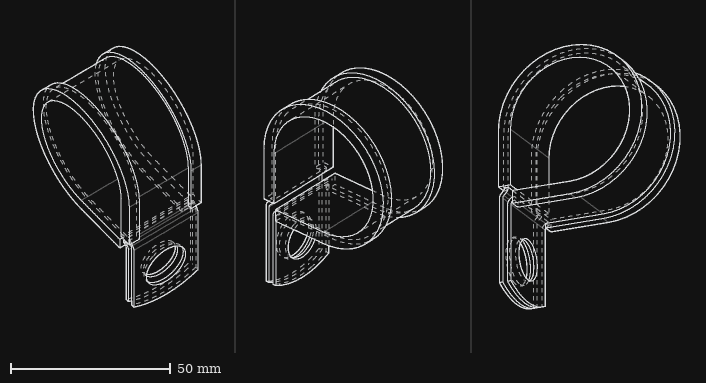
import cadquery as cq
import math


inner_radius = 20.64
outer_radius = 24.9
cushion_width = 28.45
groove_width = 20.5
groove_depth = 1.52
bottom_leg_end_x = 20.0
upright_leg_end_z = -18.65

strap_thickness = 1.22
strap_width = 25.4
bend_inner_radius = 1.2
tab_bottom_z = -53.17
outer_tab_face_x = 25.28

tab_end_radius = 28.4
inner_tab_hole_diameter = 13.49
outer_tab_hole_diameter = 15.5
hole_centre_to_tab_bottom = 14.3

strap_outer_radius = outer_radius - groove_depth
strap_mid_radius = strap_outer_radius - strap_thickness / 2
bend_radius = bend_inner_radius + strap_thickness / 2
outer_tab_mid_x = outer_tab_face_x - strap_thickness / 2
inner_tab_mid_x = bottom_leg_end_x + bend_radius
hole_z = tab_bottom_z + hole_centre_to_tab_bottom


def on_loop(radius):
    """Point halfway along the three-quarter turn of the loop, at the upper left."""
    reach = radius * math.cos(math.radians(45))
    return (-reach, reach)


def loop_band(band_inner, band_outer, width):
    """Three-quarter ring with an upright leg and a bottom leg, centred on Y = 0."""
    return (
        cq.Workplane("XZ")
        .moveTo(band_outer, upright_leg_end_z)
        .lineTo(band_outer, 0)
        .threePointArc(on_loop(band_outer), (0, -band_outer))
        .lineTo(bottom_leg_end_x, -band_outer)
        .lineTo(bottom_leg_end_x, -band_inner)
        .lineTo(0, -band_inner)
        .threePointArc(on_loop(band_inner), (band_inner, 0))
        .lineTo(band_inner, upright_leg_end_z)
        .close()
        .extrude(width / 2, both=True)
    )


def make_cushion():
    """Rubber cushion with a wide groove between two rims around its outside."""
    body = loop_band(inner_radius, outer_radius, cushion_width)
    cutter_radius = outer_radius + groove_depth
    return body.cut(loop_band(strap_outer_radius, cutter_radius, groove_width))


def strap_path():
    """Middle line of the strap, from the outer tab around the loop to the inner tab."""
    bend_side = bend_radius * (1 - math.cos(math.radians(45)))
    bend_rise = bend_radius * math.sin(math.radians(45))
    slope = outer_tab_mid_x - strap_mid_radius - 2 * bend_side
    slope_top = (strap_mid_radius + bend_side, upright_leg_end_z - bend_rise)
    slope_bottom = (slope_top[0] + slope, slope_top[1] - slope)
    joggle_bottom_z = slope_bottom[1] - bend_rise
    return (
        cq.Workplane("XZ")
        .moveTo(outer_tab_mid_x, tab_bottom_z)
        .lineTo(outer_tab_mid_x, joggle_bottom_z)
        .tangentArcPoint(slope_bottom, relative=False)
        .lineTo(*slope_top)
        .tangentArcPoint((strap_mid_radius, upright_leg_end_z), relative=False)
        .lineTo(strap_mid_radius, 0)
        .threePointArc(on_loop(strap_mid_radius), (0, -strap_mid_radius))
        .lineTo(bottom_leg_end_x, -strap_mid_radius)
        .tangentArcPoint((inner_tab_mid_x, -strap_mid_radius - bend_radius), relative=False)
        .lineTo(inner_tab_mid_x, tab_bottom_z)
    )


def strap_outline():
    """Block along X with the strap's side outline: straight sides and a rounded lower end."""
    half_width = strap_width / 2
    end_rise = tab_end_radius - math.sqrt(tab_end_radius**2 - half_width**2)
    corner_z = tab_bottom_z + end_rise
    return (
        cq.Workplane("YZ")
        .moveTo(-half_width, outer_radius)
        .lineTo(-half_width, corner_z)
        .threePointArc((0, tab_bottom_z), (half_width, corner_z))
        .lineTo(half_width, outer_radius)
        .close()
        .extrude(2 * outer_tab_face_x, both=True)
    )


def bolt_hole(tab_mid_x, diameter):
    """Bolt hole cutter through the tab whose middle plane is at the given X."""
    return (
        cq.Workplane("YZ", origin=(tab_mid_x, 0, hole_z))
        .circle(diameter / 2)
        .extrude(strap_thickness, both=True)
    )


def make_strap():
    """Bent metal strap with two round-ended tabs and a bolt hole through each."""
    strap = (
        cq.Workplane("XY", origin=(outer_tab_mid_x, 0, tab_bottom_z))
        .rect(strap_thickness, strap_width)
        .sweep(strap_path())
    )
    return (
        strap.intersect(strap_outline())
        .cut(bolt_hole(inner_tab_mid_x, inner_tab_hole_diameter))
        .cut(bolt_hole(outer_tab_mid_x, outer_tab_hole_diameter))
    )


result = make_cushion().union(make_strap())